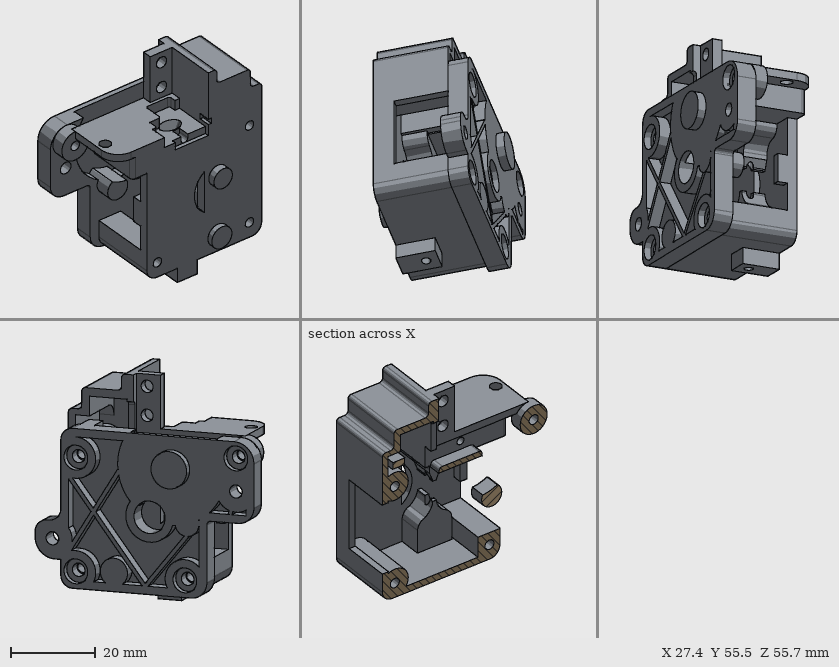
import cadquery as cq
import math


WALL = 2.0
EDGE_ROUND = 1.0
CORNER_ROUND = 3.0
OVERLAP = 0.3
TOP_Z = 20.0
BOTTOM_Z = -18.7
LEFT_Y = 22.5

LID_THICK = 4.9
LID_RIGHT_Y = -14.55
ARM_END_Y = -26.45
ARM_BOTTOM_Z = 0.3
ARM_TOP_ROUND = 5.0
ARM_BOTTOM_ROUND = 4.0
EAR_END_Y = 29.0
EAR_TOP_Z = -2.7
EAR_BOTTOM_Z = -12.0
EAR_HOLE = (24.6, -7.0)
EAR_FILLET = 3.0
EAR_ROUND = 5.0
ARM_HOLE = (-21.9, 7.95)
MOUNT_HOLE_DIAMETER = 3.2
LID_SCREWS = [(18.65, 13.0), (18.65, -14.55), (-8.95, -14.55), (-21.9, 16.0)]
SCREW_CLEARANCE = 3.2
SCREW_HEAD_DIAMETER = 6.0
SCREW_HEAD_DEPTH = 1.8
BORE_DIAMETER = 7.85
BORE_RING_RADIUS = 6.0
HUB = (-5.7, 12.25)
HUB_DIAMETER = 9.0
HUB_HEIGHT = 2.05
GEAR_RADIUS = 13.35
GEAR_DEPTH = 3.45
GEAR_RIM = 0.4
POCKET_DEPTH = 2.9
BOSS_RADIUS = 5.0
RIB_WIDTH = 1.0
PIVOT = (-9.45, -0.9)
PIVOT_DIAMETER = 6.0
PINION_RADIUS = 11.85
PIVOT_LENGTH = 4.05
SOLID_BELOW_PIVOT = 0.4
LATCH_ISLAND = (9.0, -14.05)
LATCH_ISLAND_RADIUS = 3.45
RIBS = [
    ((20.8, -10.2), (7.7, 10.7)),
    ((20.8, 8.8), (1.1, -16.9)),
    ((1.15, -16.9), (-9.5, -3.75)),
    ((-20.4, 2.25), ARM_HOLE),
]
TONGUE_Y = (15.9, 19.45)
TONGUE_LENGTH = 5.7

HOUSING_DEPTH = 18.45
BACK_WALL_X = 15.9
OPEN_SIDE_Y = -11.9
SCREW_SHIFT = 0.15
POST_DIAMETER = 8.0
SCREW_PILOT = 2.5
TOWER_STEPS = [(LEFT_Y, 23.7), (19.1, 28.95), (9.0, 33.0)]
TOWER_FACE_Y = 6.45
CAVITY_LOW = (20.7, 22.15)
CAVITY_HIGH = (17.1, 26.95)
CAVITY_END_Y = 7.6
CAVITY_ROUND = 3.0
NOTCH_DEPTH = 0.95
NOTCH_ROUND = 0.85
NOTCH_TOP_Z = 26.4
BRACKET_X = (2.0, 4.55)
BRACKET_END_Y = -0.1
BRACKET_START_Y = 5.95
BRACKET_HOLES = [(3.3, 30.0), (3.3, 23.0)]
BRACKET_HOLE_DIAMETER = 3.0
SHELF_END_Y = -21.65
SHELF_ROUND = 5.0
SHELF_HOLE = (11.85, -19.3)
BOSS_LENGTH = 3.45
BLOCK_X = 3.3
BLOCK_END_Y = -16.45
BLOCK_BOTTOM_Z = 12.0
BLOCK_HOLE = (-2.75, 15.6)
BLOCK_HOLE_DIAMETER = 2.0
BLOCK_HOLE_DEPTH = 3.0
SADDLE_BOTTOM_Z = 11.6
SADDLE_TOP_Z = 13.25
SADDLE_END_Y = -6.75
FOOT_TOP_Z = -11.05
FOOT_WIDTH = 6.5
SIDE_WINDOW_Z = (-10.5, 9.0)
GUIDE_X = 9.7
FILAMENT = (11.8, 0.15)
FILAMENT_DIAMETER = 2.2
UPPER_GUIDE = dict(
    tip=(0.6, 2.0), throat=[(0.6, 2.4), (1.45, 4.5), (1.45, 5.6)],
    flare_middle=(2.5, 7.95), flare_end=(4.75, 8.95),
    curve_middle=(6.25, 10.15), curve_end=(6.7, BLOCK_BOTTOM_Z), base_z=TOP_Z - WALL,
)
LOWER_GUIDE = dict(
    tip=(0.55, -3.75), throat=[(0.55, -4.2)],
    flare_middle=(1.35, -5.95), flare_end=(2.8, -7.4),
    curve_middle=(4.35, -8.5), curve_end=(5.0, -10.2), base_z=BOTTOM_Z,
)
STOP_X = 13.3
STOP_Z = (-4.3, 2.7)
SPOUT_X = 8.75
SPOUT_WIDTH = 6.0
SPOUT_BOTTOM_Z = -22.7
SENSOR_FLOOR_Z = 17.2
SENSOR_END_Y = -6.7
SENSOR_ROUNDED = [(5.45, 5.0), (5.45, -2.1), (11.15, -2.1), (13.85, -5.4)]
SENSOR_OUTLINE = [
    (7.45, TOWER_FACE_Y), (7.45, 5.0), *SENSOR_ROUNDED[:3],
    (11.15, -5.4), SENSOR_ROUNDED[3], (13.85, SENSOR_END_Y),
]
SENSOR_ROUND = 0.6
SENSOR_STEP_X = 17.3
SENSOR_STEP_Y = -3.4
FUNNEL_RADII = (2.05, 3.0)
FUNNEL_DEPTH = 4.0
GROOVE_START_X = 14.15
GROOVE_DIAMETER = 2.0
SLIT_X = 15.3
SLIT_Z = (18.3, 19.8)
SLIT_DEPTH = 0.9
IDLER_PIN = (9.35, 2.85)
IDLER_PIN_DIAMETER = 5.5
IDLER_PIN_LENGTH = 2.0
LATCH_PIN = (9.35, -14.15)
LATCH_PIN_DIAMETER = 6.0
LATCH_PIN_LENGTH = 1.5
IDLER_WINDOW = (9.3, -0.4)
IDLER_WINDOW_RADIUS = 7.0
IDLER_WINDOW_EDGE_Y = 5.3


def prism(points, x0, x1):
    """Polygon of (Y, Z) points between two X positions."""
    return cq.Workplane("YZ").workplane(offset=x0).polyline(points).close().extrude(x1 - x0)


def rod(centre, diameter, x0, x1):
    """Cylinder along X at a (Y, Z) centre."""
    return cq.Workplane("YZ").workplane(offset=x0).center(*centre).circle(diameter / 2).extrude(x1 - x0)


def box(x, y, z):
    """Axis-aligned box from three (low, high) pairs."""
    size = [high - low for low, high in (x, y, z)]
    return cq.Workplane("XY").box(*size, centered=False).translate((x[0], y[0], z[0]))


def near(low, high):
    """Selector of the edges that have their centre inside a slightly enlarged box."""
    margin = 0.05
    return cq.selectors.BoxSelector([value - margin for value in low], [value + margin for value in high])


def rounded(body, y, z, radius):
    """Round the X-parallel edge of a body at the given Y and Z."""
    return body.edges("|X").edges(near((-LID_THICK, y, z), (HOUSING_DEPTH, y, z))).fillet(radius)


def lid_plate():
    outline = [
        (LEFT_Y, TOP_Z), (ARM_END_Y, TOP_Z), (ARM_END_Y, ARM_BOTTOM_Z), (LID_RIGHT_Y, ARM_BOTTOM_Z),
        (LID_RIGHT_Y, BOTTOM_Z), (LEFT_Y, BOTTOM_Z), (LEFT_Y, EAR_BOTTOM_Z), (EAR_END_Y, EAR_BOTTOM_Z),
        (EAR_END_Y, EAR_TOP_Z), (LEFT_Y, EAR_TOP_Z),
    ]
    plate = prism(outline, -LID_THICK, 0)
    corners = [
        (LEFT_Y, TOP_Z, CORNER_ROUND), (ARM_END_Y, TOP_Z, ARM_TOP_ROUND),
        (ARM_END_Y, ARM_BOTTOM_Z, ARM_BOTTOM_ROUND), (LID_RIGHT_Y, ARM_BOTTOM_Z, EDGE_ROUND),
        (LID_RIGHT_Y, BOTTOM_Z, ARM_BOTTOM_ROUND), (LEFT_Y, BOTTOM_Z, CORNER_ROUND),
        (EAR_END_Y, EAR_BOTTOM_Z, EAR_ROUND), (EAR_END_Y, EAR_TOP_Z, EAR_FILLET),
        (LEFT_Y, EAR_TOP_Z, EAR_FILLET),
    ]
    for y, z, radius in corners:
        plate = rounded(plate, y, z, radius)
    return plate


def rib(start, end, x0, x1):
    """Straight rib between two (Y, Z) points."""
    run = (end[0] - start[0], end[1] - start[1])
    length = math.hypot(*run)
    middle = ((start[0] + end[0]) / 2, (start[1] + end[1]) / 2)
    angle = math.degrees(math.atan2(run[1], run[0]))
    bar = cq.Workplane("YZ").workplane(offset=x0).center(*middle).transformed(rotate=(0, 0, angle))
    return bar.rect(length, RIB_WIDTH).extrude(x1 - x0)


def lid_pockets():
    """Weight-saving pockets between the rim, the bosses and the ribs."""
    x0 = -LID_THICK - OVERLAP
    x1 = -LID_THICK + POCKET_DEPTH
    inside = [
        (LEFT_Y - WALL, TOP_Z - WALL), (ARM_END_Y + WALL, TOP_Z - WALL),
        (ARM_END_Y + WALL, ARM_BOTTOM_Z + WALL), (LID_RIGHT_Y + WALL, ARM_BOTTOM_Z + WALL),
        (LID_RIGHT_Y + WALL, BOTTOM_Z + WALL), (LEFT_Y - WALL, BOTTOM_Z + WALL),
    ]
    pockets = prism(inside, x0, x1)
    islands = [(hole, BOSS_RADIUS) for hole in LID_SCREWS + [ARM_HOLE, EAR_HOLE]]
    islands += [
        ((0, 0), BORE_RING_RADIUS), (HUB, GEAR_RADIUS + GEAR_RIM),
        (PIVOT, PIVOT_DIAMETER / 2), (LATCH_ISLAND, LATCH_ISLAND_RADIUS),
    ]
    for centre, radius in islands:
        pockets = pockets.cut(rod(centre, 2 * radius, x0, x1))
    for y, z in LID_SCREWS[:2]:
        pockets = pockets.cut(box((x0, x1), (y, LEFT_Y), (z - BOSS_RADIUS, z + BOSS_RADIUS)))
    solid_z = (PIVOT[1] - SOLID_BELOW_PIVOT, ARM_BOTTOM_Z)
    pockets = pockets.cut(box((x0, x1), (LID_RIGHT_Y, PIVOT[0]), solid_z))
    for start, end in RIBS:
        pockets = pockets.cut(rib(start, end, x0, x1))
    return pockets


def pivot():
    """Pivot stub on the inner face, hollowed where the pinion passes."""
    stub = rod(PIVOT, PIVOT_DIAMETER, -LID_THICK, PIVOT_LENGTH)
    return stub.cut(rod(HUB, 2 * PINION_RADIUS, -GEAR_DEPTH, PIVOT_LENGTH))


def make_lid():
    outside = -LID_THICK - OVERLAP
    lid = lid_plate().cut(lid_pockets())
    lid = lid.cut(rod(HUB, 2 * GEAR_RADIUS, -GEAR_DEPTH, OVERLAP))
    lid = lid.union(rod(HUB, HUB_DIAMETER, -LID_THICK - HUB_HEIGHT, -LID_THICK))
    lid = lid.union(pivot())
    lid = lid.union(box((-OVERLAP, TONGUE_LENGTH), TONGUE_Y, (TOP_Z - WALL, TOP_Z)))
    lid = lid.cut(rod((0, 0), BORE_DIAMETER, outside, OVERLAP))
    for hole in (EAR_HOLE, ARM_HOLE):
        lid = lid.cut(rod(hole, MOUNT_HOLE_DIAMETER, outside, OVERLAP))
    for screw in LID_SCREWS:
        lid = lid.cut(rod(screw, SCREW_CLEARANCE, outside, OVERLAP))
        lid = lid.cut(rod(screw, SCREW_HEAD_DIAMETER, outside, SCREW_HEAD_DEPTH - LID_THICK))
    return lid


def housing_blank():
    """Stepped tower above a rectangular case, full depth and still solid."""
    (y1, z1), (y2, z2), (y3, z3) = TOWER_STEPS
    outline = [
        (y1, BOTTOM_Z), (y1, z1), (y2, z1), (y2, z2), (y3, z2), (y3, z3),
        (TOWER_FACE_Y, z3), (TOWER_FACE_Y, TOP_Z), (OPEN_SIDE_Y, TOP_Z), (OPEN_SIDE_Y, BOTTOM_Z),
    ]
    blank = prism(outline, 0, HOUSING_DEPTH)
    for y, z in [(y1, z1), (y2, z1), (y2, z2), (y3, z2), (y3, z3)]:
        blank = rounded(blank, y, z, EDGE_ROUND)
    for y in (y1, OPEN_SIDE_Y):
        blank = rounded(blank, y, BOTTOM_Z, CORNER_ROUND)
    return blank


def chamber():
    """Hollow behind the lid, open towards -Y, reaching up into the tower."""
    beyond = OPEN_SIDE_Y - OVERLAP
    low_y, low_z = CAVITY_LOW
    high_y, high_z = CAVITY_HIGH
    outline = [
        (low_y, BOTTOM_Z + WALL), (low_y, low_z), (high_y, low_z), (high_y, high_z),
        (CAVITY_END_Y, high_z), (CAVITY_END_Y, TOP_Z - WALL), (beyond, TOP_Z - WALL),
        (beyond, BOTTOM_Z + WALL),
    ]
    hollow = prism(outline, -OVERLAP, BACK_WALL_X)
    low_ceiling = near((BACK_WALL_X, high_y, low_z), (BACK_WALL_X, low_y, low_z))
    hollow = hollow.edges("|Y").edges(low_ceiling).fillet(CAVITY_ROUND)
    shelf_gap = box((-OVERLAP, BRACKET_X[0]), (beyond, BRACKET_START_Y), (BOTTOM_Z + WALL, TOP_Z + OVERLAP))
    side_window = box((-OVERLAP, STOP_X), (low_y - OVERLAP, LEFT_Y + OVERLAP), SIDE_WINDOW_Z)
    return hollow.union(shelf_gap).union(side_window)


def tower_notch():
    """Shallow notch in the front edge of the tower's -Y wall."""
    notch = box((-OVERLAP, NOTCH_DEPTH), (BRACKET_START_Y - OVERLAP, CAVITY_END_Y + OVERLAP),
                (TOP_Z - WALL, NOTCH_TOP_Z))
    return notch.edges("|Y and >X and >Z").fillet(NOTCH_ROUND)


def housing_screws():
    return [(y + SCREW_SHIFT, z) for y, z in LID_SCREWS]


def screw_posts(blank):
    """Posts behind the two +Y screws and a foot behind the lower -Y screw."""
    posts = box((0, HOUSING_DEPTH), (OPEN_SIDE_Y, OPEN_SIDE_Y + FOOT_WIDTH), (BOTTOM_Z, FOOT_TOP_Z))
    for screw in housing_screws()[:2]:
        posts = posts.union(rod(screw, POST_DIAMETER, 0, HOUSING_DEPTH))
    return posts.intersect(blank)


def bracket():
    front, rear = BRACKET_X
    top = TOWER_STEPS[-1][1]
    plate = box((front, rear), (BRACKET_END_Y, TOWER_FACE_Y), (TOP_Z - WALL, top))
    lip = box((0, rear), (BRACKET_START_Y, TOWER_FACE_Y), (TOP_Z - WALL, top))
    return plate.union(lip)


def shelf():
    """Top shelf, the block below it and the boss of the arm screw."""
    plate = box((BRACKET_X[0], HOUSING_DEPTH), (SHELF_END_Y, TOWER_FACE_Y), (TOP_Z - WALL, TOP_Z))
    plate = plate.edges("|Z and >X and <Y").fillet(SHELF_ROUND)
    block = box((BLOCK_X, HOUSING_DEPTH), (BLOCK_END_Y, CAVITY_END_Y), (BLOCK_BOTTOM_Z, TOP_Z - WALL))
    block = block.edges("|Z and <Y").fillet(EDGE_ROUND)
    boss = rod(housing_screws()[3], POST_DIAMETER, 0, BOSS_LENGTH)
    return plate.union(block).union(boss)


def guide(tip, throat, flare_middle, flare_end, curve_middle, curve_end, base_z):
    """Filament guide from (half width, Z) points: straight tip, two arcs, then straight to its base."""
    half = cq.Workplane("YZ").workplane(offset=GUIDE_X).moveTo(0, tip[1]).lineTo(*tip)
    for point in throat:
        half = half.lineTo(*point)
    half = half.threePointArc(flare_middle, flare_end).threePointArc(curve_middle, curve_end)
    half = half.lineTo(curve_end[0], base_z).lineTo(0, base_z).close().extrude(BACK_WALL_X - GUIDE_X)
    return half.union(half.mirror("XZ")).translate((0, FILAMENT[1], 0))


def saddle():
    """Rounded bar that spans from the lid joint to the guides, under the shelf."""
    bar = box((0, GUIDE_X), (SADDLE_END_Y, BRACKET_START_Y), (SADDLE_BOTTOM_Z, SADDLE_TOP_Z))
    bar = rounded(bar, BRACKET_START_Y, SADDLE_TOP_Z, EDGE_ROUND)
    return rounded(bar, SADDLE_END_Y, SADDLE_TOP_Z, EDGE_ROUND)


def sensor_recess():
    """Stepped recess in the shelf, open towards +X."""
    outer = HOUSING_DEPTH + OVERLAP
    outline = [(outer, TOWER_FACE_Y), *SENSOR_OUTLINE, (outer, SENSOR_END_Y)]
    height = TOP_Z - SENSOR_FLOOR_Z
    recess = cq.Workplane("XY").workplane(offset=SENSOR_FLOOR_Z).polyline(outline).close().extrude(height)
    for x, y in SENSOR_ROUNDED:
        corner = near((x, y, SENSOR_FLOOR_Z), (x, y, TOP_Z))
        recess = recess.edges("|Z").edges(corner).fillet(SENSOR_ROUND)
    step = box((SENSOR_STEP_X, outer), (SENSOR_STEP_Y, TOWER_FACE_Y), (SENSOR_FLOOR_Z - WALL, TOP_Z))
    radius = GROOVE_DIAMETER / 2
    groove = rod((FILAMENT[1], SENSOR_FLOOR_Z - radius), GROOVE_DIAMETER, GROOVE_START_X, outer)
    sides = (FILAMENT[1] - radius, FILAMENT[1] + radius)
    groove = groove.union(box((GROOVE_START_X, outer), sides, (SENSOR_FLOOR_Z - radius, SENSOR_FLOOR_Z)))
    slit = box((SLIT_X, outer), (TOWER_FACE_Y, TOWER_FACE_Y + SLIT_DEPTH), SLIT_Z)
    return recess.union(step).union(groove).union(slit)


def filament_path():
    """Funnel in the sensor recess and the bore from there to the spout."""
    bore = cq.Workplane("XY").workplane(offset=SPOUT_BOTTOM_Z - OVERLAP).center(*FILAMENT)
    bore = bore.circle(FILAMENT_DIAMETER / 2).extrude(SENSOR_FLOOR_Z - SPOUT_BOTTOM_Z)
    funnel = cq.Workplane("XY").workplane(offset=SENSOR_FLOOR_Z).center(*FILAMENT).ellipse(*FUNNEL_RADII)
    small = FILAMENT_DIAMETER / 2
    funnel = funnel.workplane(offset=-FUNNEL_DEPTH).circle(small).loft()
    return bore.union(funnel)


def stop():
    """Thickened patch of the back wall at the open side."""
    return box((STOP_X, HOUSING_DEPTH), (OPEN_SIDE_Y, OPEN_SIDE_Y + WALL), STOP_Z)


def spout():
    """Filament outlet below the case."""
    sides = (FILAMENT[1] - SPOUT_WIDTH / 2, FILAMENT[1] + SPOUT_WIDTH / 2)
    return box((SPOUT_X, HOUSING_DEPTH), sides, (SPOUT_BOTTOM_Z, BOTTOM_Z + WALL))


def back_pins():
    """Two pins standing out of the back wall."""
    idler = rod(IDLER_PIN, IDLER_PIN_DIAMETER, BACK_WALL_X, HOUSING_DEPTH + IDLER_PIN_LENGTH)
    latch = rod(LATCH_PIN, LATCH_PIN_DIAMETER, BACK_WALL_X, HOUSING_DEPTH + LATCH_PIN_LENGTH)
    return idler.union(latch)


def idler_window():
    """Opening in the back wall: a circle segment on its -Y side."""
    x0 = BACK_WALL_X - OVERLAP
    x1 = HOUSING_DEPTH + OVERLAP
    circle = rod(IDLER_WINDOW, 2 * IDLER_WINDOW_RADIUS, x0, x1)
    return circle.cut(box((x0, x1), (IDLER_WINDOW_EDGE_Y, LEFT_Y), (BOTTOM_Z, TOP_Z)))


def shelf_hole():
    hole = cq.Workplane("XY").workplane(offset=TOP_Z - WALL - OVERLAP).center(*SHELF_HOLE)
    return hole.circle(BRACKET_HOLE_DIAMETER / 2).extrude(WALL + 2 * OVERLAP)


def make_housing():
    blank = housing_blank()
    housing = blank.cut(chamber()).union(screw_posts(blank))
    housing = housing.union(bracket()).union(shelf())
    housing = housing.cut(tower_notch())
    for part in (saddle(), guide(**UPPER_GUIDE), guide(**LOWER_GUIDE), stop(), spout(), back_pins()):
        housing = housing.union(part)
    for opening in (sensor_recess(), filament_path(), idler_window(), shelf_hole()):
        housing = housing.cut(opening)
    for screw in housing_screws():
        housing = housing.cut(rod(screw, SCREW_PILOT, -OVERLAP, HOUSING_DEPTH + OVERLAP))
    for hole in BRACKET_HOLES:
        housing = housing.cut(rod(hole, BRACKET_HOLE_DIAMETER, -OVERLAP, BRACKET_X[1] + OVERLAP))
    block_hole_end = BLOCK_X + BLOCK_HOLE_DEPTH
    return housing.cut(rod(BLOCK_HOLE, BLOCK_HOLE_DIAMETER, BLOCK_X - OVERLAP, block_hole_end))


lid = make_lid()
housing = make_housing()
result = cq.Compound.makeCompound([*lid.solids().vals(), *housing.solids().vals()])